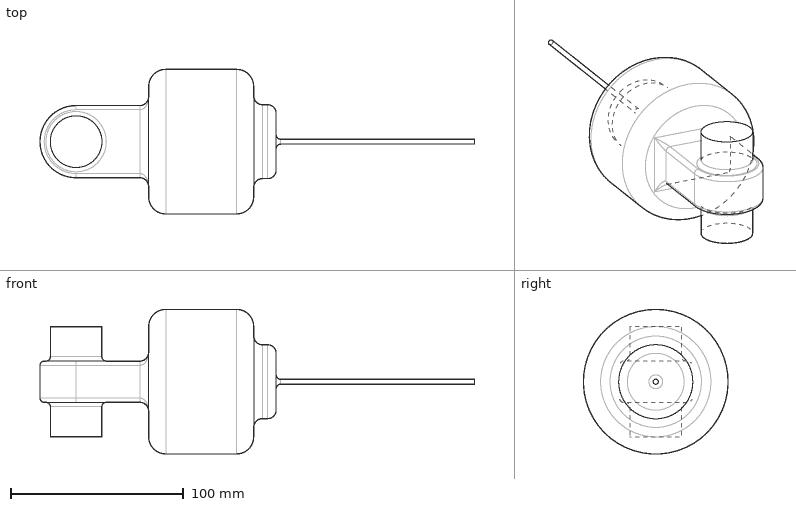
import cadquery as cq


arm_width = 42.0
arm_thickness = 24.0
arm_edge_fillet = 2.5
arm_root_fillet = 5.0

pin_diameter = 30.0
pin_length = 64.0
pin_root_fillet = 2.5

body_start = 42.0
body_length = 61.0
body_radius = 42.0
body_rim_fillet = 10.0

collar_length = 13.0
collar_radius = 21.5
collar_fillet = 5.0

cable_radius = 1.5
cable_root_fillet = 2.5
overall_length = 252.0

arm_end_radius = arm_width / 2
arm_half_thickness = arm_thickness / 2
flare_start = body_start - arm_root_fillet
body_end = body_start + body_length
collar_end = body_end + collar_length
cable_end = overall_length - arm_end_radius


def flare_to_body(outline, half_width):
    """Close an arm outline, flaring both sides outwards up to the body face."""
    root_half_width = half_width + arm_root_fillet
    return (
        outline.lineTo(flare_start, half_width)
        .radiusArc((body_start, root_half_width), -arm_root_fillet)
        .lineTo(body_start, -root_half_width)
        .radiusArc((flare_start, -half_width), -arm_root_fillet)
        .close()
    )


def make_arm():
    """Round-ended bar with mitred root flares and rounded long edges."""
    plan_start = (
        cq.Workplane("XY")
        .moveTo(flare_start, -arm_end_radius)
        .lineTo(0, -arm_end_radius)
        .threePointArc((-arm_end_radius, 0), (0, arm_end_radius))
    )
    side_start = (
        cq.Workplane("XZ")
        .moveTo(flare_start, -arm_half_thickness)
        .lineTo(-arm_end_radius, -arm_half_thickness)
        .lineTo(-arm_end_radius, arm_half_thickness)
    )
    plan = flare_to_body(plan_start, arm_end_radius).extrude(arm_width, both=True)
    side = flare_to_body(side_start, arm_half_thickness).extrude(arm_width, both=True)
    return plan.intersect(side).edges("not(|Y or |Z)").fillet(arm_edge_fillet)


def add_pin(arm):
    """Cross pin through the arm, blended into both flat faces."""
    pin_radius = pin_diameter / 2
    pin = cq.Workplane("XY").circle(pin_radius).extrude(pin_length / 2, both=True)
    joint_reach = pin_radius / 2
    joint_height = arm_half_thickness + pin_root_fillet
    joint = cq.selectors.BoxSelector(
        (-joint_reach, -joint_reach, -joint_height),
        (joint_reach, joint_reach, joint_height),
    )
    return arm.union(pin).edges(joint).fillet(pin_root_fillet)


def make_turned_body():
    """Body, collar and cable revolved as one half section about the X axis."""
    body_flat_radius = body_radius - body_rim_fillet
    return (
        cq.Workplane("XZ")
        .moveTo(body_start, 0)
        .lineTo(body_start, body_flat_radius)
        .radiusArc((body_start + body_rim_fillet, body_radius), body_rim_fillet)
        .lineTo(body_end - body_rim_fillet, body_radius)
        .radiusArc((body_end, body_flat_radius), body_rim_fillet)
        .lineTo(body_end, collar_radius + collar_fillet)
        .radiusArc((body_end + collar_fillet, collar_radius), -collar_fillet)
        .lineTo(collar_end - collar_fillet, collar_radius)
        .radiusArc((collar_end, collar_radius - collar_fillet), collar_fillet)
        .lineTo(collar_end, cable_radius + cable_root_fillet)
        .radiusArc((collar_end + cable_root_fillet, cable_radius), -cable_root_fillet)
        .lineTo(cable_end, cable_radius)
        .lineTo(cable_end, 0)
        .close()
        .revolve(360, (0, 0, 0), (1, 0, 0))
    )


result = add_pin(make_arm()).union(make_turned_body())